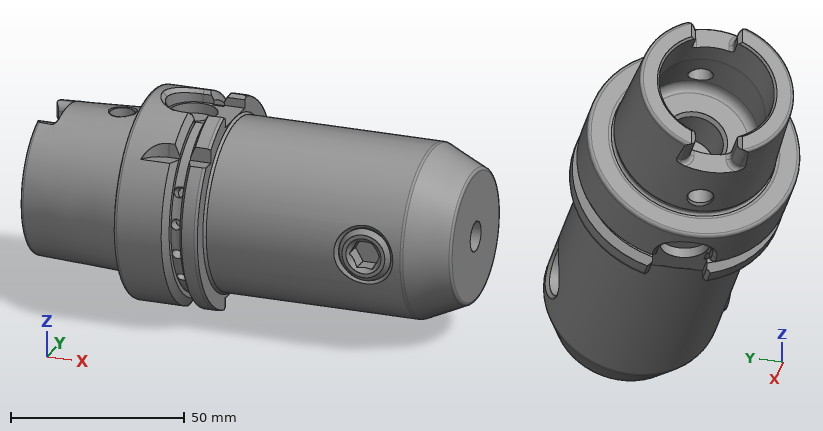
import cadquery as cq
import math


total_length = 132.0
flange_face_x = 32.0
flange_back_x = 57.8
shank_x = 58.6
nose_x = 118.8
taper_end_x = 29.8
neck_x = 30.6

taper_mouth_r = 22.7
taper_end_r = 24.2
neck_r = 23.6
neck_fillet = 0.8
neck_face_depth = 0.3
neck_face_r = 25.3
flange_diameter = 63.0
flange_r = flange_diameter / 2
flange_fillet = 1.0
flange_back_chamfer = 0.9
flange_back_step = 0.3
shank_r = 26.0
shank_root_r = 26.7
nose_end_r = 20.0
taper_mouth_fillet = 0.9
nose_fillet = 2.0
nose_end_fillet = 1.0

groove_x = 49.9
groove_bottom_r = 27.5
groove_shoulder_r = 28.9
groove_bottom_width = 3.3
groove_flank_angle = 30.0

bore_r = 17.0
mouth_chamfer = 0.7
undercut_x = 13.0
undercut_r = 18.5
cavity_floor_x = 30.0
cavity_fillet = 2.6
thread_r = 8.5
thread_chamfer = 1.0
thread_depth = 13.2
passage_r = 4.5
passage_chamfer = 0.3

slot_half_width = 6.2
slot_fillet = 1.5
slot_flare_r = 2.5
slot_mouth_widening = 1.3
slot_mouth_depth = 1.0
upper_slot_depth = 6.2
lower_slot_depth = 9.9

access_x = 23.0
access_r = 3.7
access_chamfer = 0.5

keyway_x = 44.9
keyway_r = 8.0
keyway_floor = 26.5
keyway_chamfer = 1.3
recess_r = 7.1
recess_depth = 3.2
notch_r = 7.9
notch_floor = 19.9
notch_wall = 20.0

balance_r = 1.6
balance_depth = 4.0
balance_angles = (-35, -15, 5, 25)

screw_x = 107.0
screw_r = 8.0
cross_chamfer = 1.0
screw_end_y = -25.9
screw_length = 15.8
screw_end_r = 6.6
hex_flats = 8.0
hex_depth = 6.0
hex_chamfer_r = 5.4

margin = 1.3
edge_pick = 0.1


def revolve_x(outline):
    """Turn a closed outline in the XZ plane (z is the radius) about the X axis."""
    return outline.close().revolve(360, (0, 0, 0), (1, 0, 0))


def upright_cylinder(x, radius, z_low, z_high):
    return cq.Workplane("XY", origin=(x, 0, z_low)).circle(radius).extrude(z_high - z_low)


def make_taper():
    taper = revolve_x(
        cq.Workplane("XZ")
        .lineTo(0, taper_mouth_r)
        .lineTo(taper_end_x, taper_end_r)
        .lineTo(flange_face_x, taper_end_r)
        .lineTo(flange_face_x, 0)
    )
    return taper.faces("<X").edges().fillet(taper_mouth_fillet)


def make_neck_relief():
    """Undercut in the corner between taper and flange that also bites into the flange face."""
    fillet_end_x = flange_face_x + neck_face_depth
    return revolve_x(
        cq.Workplane("XZ")
        .moveTo(taper_end_x, taper_end_r)
        .lineTo(neck_x, neck_r)
        .lineTo(fillet_end_x - neck_fillet, neck_r)
        .radiusArc((fillet_end_x, neck_r + neck_fillet), -neck_fillet)
        .lineTo(flange_face_x, neck_face_r)
        .lineTo(taper_end_x, neck_face_r)
    )


def make_shank():
    shank = revolve_x(
        cq.Workplane("XZ")
        .moveTo(flange_back_x, 0)
        .lineTo(flange_back_x, shank_root_r)
        .lineTo(shank_x, shank_r)
        .lineTo(nose_x, shank_r)
        .lineTo(total_length, nose_end_r)
        .lineTo(total_length, 0)
    )
    nose_edge = cq.selectors.BoxSelector(
        (nose_x - margin, -flange_r, -flange_r), (nose_x + margin, flange_r, flange_r), boundingbox=True
    )
    shank = shank.edges(nose_edge).fillet(nose_fillet)
    return shank.faces(">X").edges().fillet(nose_end_fillet)


def make_keyway_cutter():
    """Round-ended keyway above the axis, open towards the rear of the flange."""
    height = flange_r
    run = total_length - keyway_x
    round_end = upright_cylinder(keyway_x, keyway_r, keyway_floor, keyway_floor + height)
    channel = cq.Workplane("XY").box(run, 2 * keyway_r, height, centered=(False, True, False))
    return round_end.union(channel.translate((keyway_x, 0, keyway_floor)))


def make_groove_cutter():
    half_bottom = groove_bottom_width / 2
    outside_r = flange_r + margin
    flank_run = (outside_r - groove_shoulder_r) * math.tan(math.radians(groove_flank_angle))
    half_top = half_bottom + flank_run
    return revolve_x(
        cq.Workplane("XZ")
        .moveTo(groove_x - half_bottom, groove_bottom_r)
        .lineTo(groove_x - half_bottom, groove_shoulder_r)
        .lineTo(groove_x - half_top, outside_r)
        .lineTo(groove_x + half_top, outside_r)
        .lineTo(groove_x + half_bottom, groove_shoulder_r)
        .lineTo(groove_x + half_bottom, groove_bottom_r)
    )


def make_notch_cutter():
    """L-shaped corner notch on the -Y +Z side, its front end a quarter round in plan."""
    axis_y = -notch_wall - notch_r
    height = flange_r - notch_floor
    run = total_length - keyway_x
    round_end = upright_cylinder(keyway_x, notch_r, notch_floor, flange_r).translate((0, axis_y, 0))
    channel = cq.Workplane("XY").box(run, 2 * notch_r, height, centered=(False, True, False))
    return round_end.union(channel.translate((keyway_x, axis_y, notch_floor)))


def make_flange():
    flange = revolve_x(
        cq.Workplane("XZ")
        .moveTo(flange_face_x, 0)
        .lineTo(flange_face_x, flange_r - flange_fillet)
        .radiusArc((flange_face_x + flange_fillet, flange_r), flange_fillet)
        .lineTo(flange_back_x - flange_back_chamfer, flange_r)
        .lineTo(flange_back_x, flange_r - flange_back_step)
        .lineTo(flange_back_x, 0)
    )
    keyway = make_keyway_cutter()
    for turn in (0, 180):
        flange = flange.cut(keyway.rotate((0, 0, 0), (1, 0, 0), turn))

    reach = keyway_r + margin
    for side in (1, -1):
        rim = cq.selectors.BoxSelector(
            (keyway_x - reach, -reach, side * (keyway_floor + margin)),
            (flange_back_x - flange_back_chamfer / 2, reach, side * (flange_r + margin)),
        )
        flange = flange.edges(rim).chamfer(keyway_chamfer)

    recess = upright_cylinder(keyway_x, recess_r, keyway_floor - recess_depth, keyway_floor)
    for turn in (0, 180):
        flange = flange.cut(recess.rotate((0, 0, 0), (1, 0, 0), turn))

    flange = flange.cut(make_groove_cutter())

    for angle in balance_angles:
        hole = (
            cq.Workplane("XZ", origin=(groove_x, 0, 0))
            .workplane(offset=groove_bottom_r - balance_depth)
            .circle(balance_r)
            .extrude(2 * balance_depth)
        )
        flange = flange.cut(hole.rotate((0, 0, 0), (1, 0, 0), -angle))
    return flange


def make_cavity():
    """Mouth bore, widening conical undercut, rounded cavity floor, thread and coolant passage."""
    thread_end_x = cavity_floor_x + thread_depth
    return revolve_x(
        cq.Workplane("XZ")
        .lineTo(0, bore_r + mouth_chamfer)
        .lineTo(mouth_chamfer, bore_r)
        .lineTo(undercut_x, bore_r)
        .lineTo(cavity_floor_x - cavity_fillet, undercut_r)
        .radiusArc((cavity_floor_x, undercut_r - cavity_fillet), cavity_fillet)
        .lineTo(cavity_floor_x, thread_r + thread_chamfer)
        .lineTo(cavity_floor_x + thread_chamfer, thread_r)
        .lineTo(thread_end_x, thread_r)
        .lineTo(thread_end_x, passage_r + passage_chamfer)
        .lineTo(thread_end_x + passage_chamfer, passage_r)
        .lineTo(total_length, passage_r)
        .lineTo(total_length, 0)
    )


def make_drive_slot(depth):
    """Slot above the axis whose side walls flare out to meet the taper tangentially."""
    flare_y = slot_half_width + slot_flare_r
    flare_z = math.sqrt((taper_mouth_r - slot_flare_r) ** 2 - flare_y**2)
    flare_top = flare_z + slot_flare_r
    top = taper_end_r + margin
    half_profile = (
        cq.Workplane("YZ")
        .lineTo(slot_half_width, 0)
        .lineTo(slot_half_width, flare_z)
        .radiusArc((flare_y, flare_top), slot_flare_r)
        .lineTo(flare_y + slot_flare_r, flare_top)
        .lineTo(flare_y + slot_flare_r, top)
        .lineTo(0, top)
        .close()
    )
    half = half_profile.extrude(depth)
    end_edges = cq.selectors.BoxSelector(
        (depth - edge_pick, slot_half_width - edge_pick, -margin),
        (depth + edge_pick, flare_y - edge_pick, flare_top - edge_pick),
    )
    half = half.edges(end_edges).fillet(slot_fillet)

    mouth = (
        cq.Workplane("XY")
        .lineTo(0, slot_half_width + slot_mouth_widening)
        .lineTo(slot_mouth_depth, slot_half_width)
        .lineTo(slot_mouth_depth, 0)
        .close()
        .extrude(top)
    )
    half = half.union(mouth)
    return half.union(half.mirror("XZ"))


def make_access_hole():
    """Upright hole right through the taper, chamfered where it meets the taper."""
    rim_z = taper_mouth_r + (taper_end_r - taper_mouth_r) * access_x / taper_end_x
    hole = upright_cylinder(access_x, access_r, -flange_r, flange_r)
    rim = cq.Workplane("XY", origin=(access_x, 0, rim_z - access_chamfer)).circle(access_r)
    rim = rim.workplane(offset=2 * access_chamfer).circle(access_r + 2 * access_chamfer).loft()
    return hole.union(rim).union(rim.mirror("XY"))


def cut_cross_hole(holder):
    """Hole for the set screw, right across the shank along Y, chamfered at both ends."""
    hole = cq.Workplane("XZ", origin=(screw_x, 0, 0)).circle(screw_r).extrude(shank_r + margin, both=True)
    holder = holder.cut(hole)
    for side in (1, -1):
        rim = cq.selectors.BoxSelector(
            (screw_x - screw_r, side * screw_r, -screw_r),
            (screw_x + screw_r, side * (shank_r + margin), screw_r),
        )
        holder = holder.edges(rim).chamfer(cross_chamfer)
    return holder


def make_holder():
    holder = make_taper().union(make_flange()).union(cut_cross_hole(make_shank()))
    holder = holder.cut(make_neck_relief())
    holder = holder.cut(make_notch_cutter())
    holder = holder.cut(make_cavity())
    holder = holder.cut(make_drive_slot(upper_slot_depth))
    holder = holder.cut(make_drive_slot(lower_slot_depth).mirror("XY"))
    return holder.cut(make_access_hole())


def make_set_screw():
    """Set screw standing along Y with its hexagon socket facing -Y."""
    outer_end = cq.Workplane("XZ", origin=(screw_x, screw_end_y, 0))
    screw = outer_end.circle(screw_r).extrude(-screw_length)
    screw = screw.faces("<Y").edges().chamfer(screw_r - screw_end_r)

    hex_corners = hex_flats / math.cos(math.radians(30))
    socket = outer_end.polygon(6, hex_corners).extrude(-hex_depth)
    countersink_depth = hex_chamfer_r - hex_flats / 2
    countersink = outer_end.circle(hex_chamfer_r)
    countersink = countersink.workplane(offset=-countersink_depth).circle(hex_flats / 2).loft()
    return screw.cut(socket).cut(countersink)


holder = make_holder()
set_screw = make_set_screw()

result = cq.Compound.makeCompound([holder.val(), set_screw.val()])